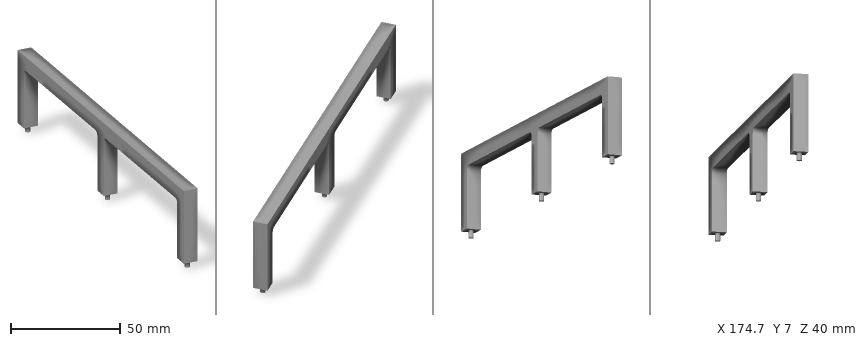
import cadquery as cq

length = 174.7
bar_size = 7.0
total_height = 40.0

pin_diameter = 2.5
pin_length = 3.5

inner_corner_radius = 2.1

frame_height = total_height - pin_length
leg_height = frame_height - bar_size
end_leg_x = (length - bar_size) / 2
leg_positions = [(-end_leg_x, 0), (0, 0), (end_leg_x, 0)]
opening_width = end_leg_x - bar_size


def make_opening(center_x):
    """Space between two legs, with rounded corners under the beam."""
    return (
        cq.Workplane("XY")
        .center(center_x, 0)
        .box(opening_width, bar_size, leg_height, centered=(True, True, False))
        .edges("|Y and >Z")
        .fillet(inner_corner_radius)
    )


frame = cq.Workplane("XY").box(length, bar_size, frame_height, centered=(True, True, False))
for side in (-1, 1):
    frame = frame.cut(make_opening(side * end_leg_x / 2))

pins = (
    cq.Workplane("XY")
    .pushPoints(leg_positions)
    .circle(pin_diameter / 2)
    .extrude(-pin_length)
)

result = frame.union(pins)